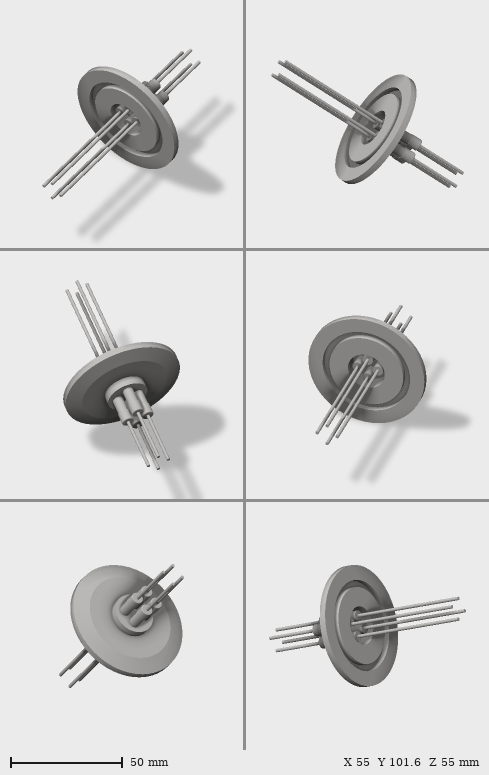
import cadquery as cq


flange_diameter = 55.0
flange_front = 3.3
rim_back = 6.3
flange_back = 8.4
back_face_radius = 20.3
hub_radius = 9.4
hub_back = 12.5

groove_outer_radius = 20.7
groove_inner_radius = 17.5
groove_depth = 2.6
bore_radius = 8.7
bore_floor = 11.1

wire_length = 101.6
wire_radius = 0.76
feedthrough_count = 4
pitch_radius = 4.8
tube_radius = 2.4
tube_front = 5.1
collar_radius = 2.7
collar_front = 20.0
collar_back = 25.4
collar_edge_fillet = 0.4


def cylinder(radius, start, end):
    """Cylinder on the Y axis between two positions."""
    return cq.Workplane("XZ", origin=(0, start, 0)).circle(radius).extrude(start - end)


def make_flange():
    profile = [
        (0, flange_front),
        (flange_diameter / 2, flange_front),
        (flange_diameter / 2, rim_back),
        (back_face_radius, flange_back),
        (hub_radius, flange_back),
        (hub_radius, hub_back),
        (0, hub_back),
    ]
    body = cq.Workplane("XY").polyline(profile).close().revolve(360, (0, 0, 0), (0, 1, 0))
    groove_floor = flange_front + groove_depth
    groove = cylinder(groove_outer_radius, flange_front, groove_floor).cut(
        cylinder(groove_inner_radius, flange_front, groove_floor)
    )
    bore = cylinder(bore_radius, flange_front, bore_floor)
    return body.cut(groove).cut(bore)


def make_feedthrough():
    wire = cylinder(wire_radius, -wire_length / 2, wire_length / 2)
    tube = cylinder(tube_radius, tube_front, collar_front)
    collar = cylinder(collar_radius, collar_front, collar_back)
    collar = collar.faces(">Y").edges().fillet(collar_edge_fillet)
    return tube.union(collar).union(wire)


result = make_flange()
feedthrough = make_feedthrough().translate((pitch_radius, 0, 0))
for index in range(feedthrough_count):
    angle = index * 360 / feedthrough_count
    result = result.union(feedthrough.rotate((0, 0, 0), (0, 1, 0), angle))